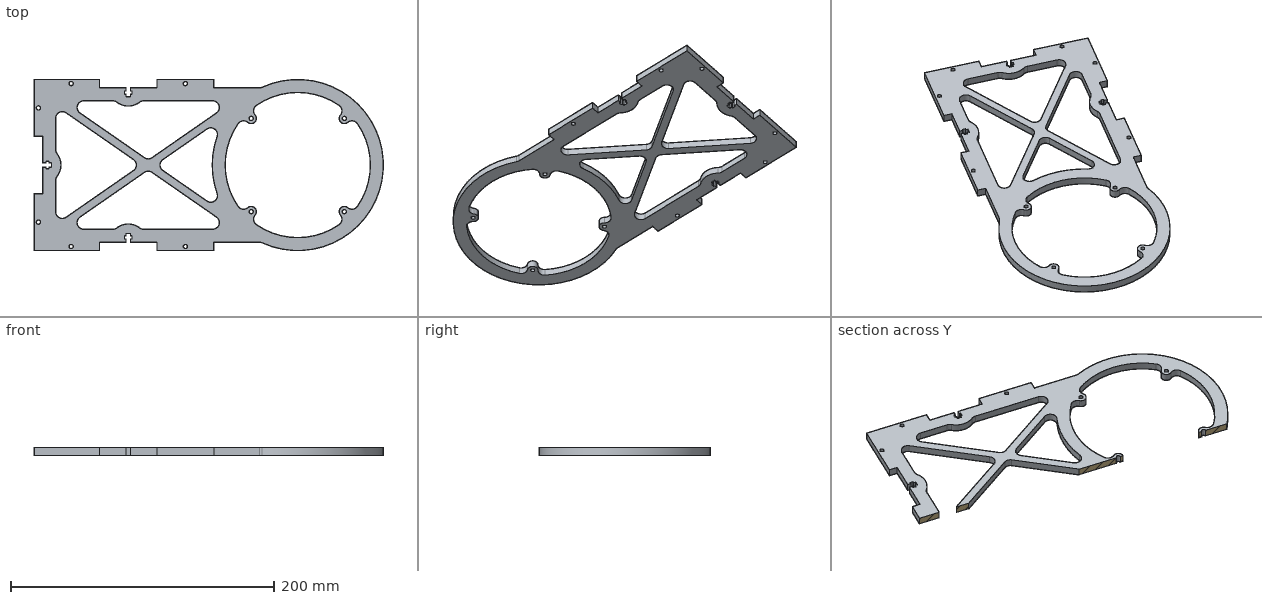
import cadquery as cq
import math

thickness = 6.35
width = 130.0
length = 265.0
half_width = width / 2
rim = 10.0
blend_radius = 5.0

ring_radius = half_width
ring_x = length - ring_radius
opening_radius = ring_radius - rim

lug_circle_radius = 50.0
lug_radius = 4.0
lug_angles = (45, 135, 225, 315)
screw_diameter = 3.0

tab_depth = thickness
tab_length = width / 3
body_half_width = half_width - tab_depth
neck_x = ring_x - math.sqrt(ring_radius**2 - body_half_width**2)

notch_start_x = tab_depth + tab_length
notch_end_x = notch_start_x + tab_length
second_tab_end_x = notch_end_x + tab_length
notch_center_x = (notch_start_x + notch_end_x) / 2

slot_width = 3.2
slot_depth = 6.65
nut_width = 5.5
nut_thickness = 2.2
nut_inset = 2.6
boss_radius = 14.0

window_left = tab_depth + rim
window_center_x = 86.5
window_half_length = window_center_x - window_left
window_half_height = body_half_width - rim
brace_width = 6.0

notch_middles = [
    (tab_depth, 0, 0),
    (notch_center_x, -body_half_width, 90),
    (notch_center_x, body_half_width, -90),
]


def block(size_x, size_y):
    """Rectangular block of plate thickness, centered on the Z axis."""
    return cq.Workplane("XY").rect(size_x, size_y).extrude(thickness)


def disc(x, y, radius):
    """Round block of plate thickness."""
    return cq.Workplane("XY").center(x, y).circle(radius).extrude(thickness)


def turned(shape, angle):
    """Shape turned about the Z axis."""
    return shape.rotate((0, 0, 0), (0, 0, 1), angle)


def upright_edges_within(shape, x, y, radius):
    """Vertical edges of a shape no farther than radius from the point (x, y)."""
    margin = 0.01
    return shape.edges("|Z").filter(
        lambda edge: math.hypot(edge.Center().x - x, edge.Center().y - y) < radius + margin
    )


def make_plate():
    """Tabbed body running into the round ring end, with blended necks."""
    upper_side = [
        (tab_depth, tab_length / 2),
        (0, tab_length / 2),
        (0, half_width),
        (notch_start_x, half_width),
        (notch_start_x, body_half_width),
        (notch_end_x, body_half_width),
        (notch_end_x, half_width),
        (second_tab_end_x, half_width),
        (second_tab_end_x, body_half_width),
        (neck_x, body_half_width),
    ]
    lower_side = [(x, -y) for x, y in reversed(upper_side)]
    plate = (
        cq.Workplane("XY")
        .polyline(upper_side)
        .threePointArc((length, 0), lower_side[0])
        .polyline(lower_side, includeCurrent=False)
        .close()
        .extrude(thickness)
    )
    for neck_y in (-body_half_width, body_half_width):
        plate = upright_edges_within(plate, neck_x, neck_y, 0).fillet(blend_radius)
    return plate


def make_lug():
    """Round lug on the +X axis of the ring, joined to the ring by two concave blends."""
    blend_path_radius = opening_radius - blend_radius
    blend_reach = lug_radius + blend_radius
    blend_angle = math.acos(
        (lug_circle_radius**2 + blend_path_radius**2 - blend_reach**2)
        / (2 * lug_circle_radius * blend_path_radius)
    )
    direction_x = math.cos(blend_angle)
    direction_y = math.sin(blend_angle)
    blend_x = blend_path_radius * direction_x
    blend_y = blend_path_radius * direction_y
    rim_x = opening_radius * direction_x
    rim_y = opening_radius * direction_y
    neck = (
        cq.Workplane("XY")
        .moveTo(lug_circle_radius, 0)
        .lineTo(blend_x, -blend_y)
        .lineTo(rim_x, -rim_y)
        .threePointArc((opening_radius, 0), (rim_x, rim_y))
        .lineTo(blend_x, blend_y)
        .close()
        .extrude(thickness)
    )
    for side in (-1, 1):
        neck = neck.cut(disc(blend_x, side * blend_y, blend_radius))
    return neck.union(disc(lug_circle_radius, 0, lug_radius))


def make_ring_opening():
    """Round opening of the ring, less the screw lugs."""
    opening = turned(disc(0, 0, opening_radius), lug_angles[0])
    lug = make_lug()
    for angle in lug_angles:
        opening = opening.cut(turned(lug, angle))
    return opening.translate((ring_x, 0, 0))


def make_window():
    """Four rounded openings between the braces, indented by the slot bosses."""
    window = block(2 * window_half_length, 2 * window_half_height)
    brace = block(length, brace_width)
    brace_angle = math.degrees(math.atan2(window_half_height, window_half_length))
    for angle in (-brace_angle, brace_angle):
        window = window.cut(turned(brace, angle))
    window = window.translate((window_center_x, 0, 0)).cut(disc(ring_x, 0, ring_radius))
    window = window.edges("|Z").fillet(blend_radius)
    for x, y, _ in notch_middles:
        window = window.cut(disc(x, y, boss_radius))
        window = upright_edges_within(window, x, y, boss_radius).fillet(blend_radius)
    return window


def make_t_slot():
    """T-slot that enters at the origin and runs toward +X."""
    stem = block(slot_depth, slot_width).translate((slot_depth / 2, 0, 0))
    nut = block(nut_thickness, nut_width).translate((nut_inset + nut_thickness / 2, 0, 0))
    return stem.union(nut)


def screw_hole_places():
    """One hole in the middle of each tab and one in each lug."""
    places = []
    for side in (-1, 1):
        places.append((tab_depth / 2, side * tab_length))
        for tab_x in (notch_center_x - tab_length, notch_center_x + tab_length):
            places.append((tab_x, side * (half_width - tab_depth / 2)))
    for angle in lug_angles:
        lug_x = ring_x + lug_circle_radius * math.cos(math.radians(angle))
        lug_y = lug_circle_radius * math.sin(math.radians(angle))
        places.append((lug_x, lug_y))
    return places


result = make_plate().cut(make_window()).cut(make_ring_opening())

t_slot = make_t_slot()
for x, y, angle in notch_middles:
    result = result.cut(turned(t_slot, angle).translate((x, y, 0)))

for x, y in screw_hole_places():
    result = result.cut(disc(x, y, screw_diameter / 2))